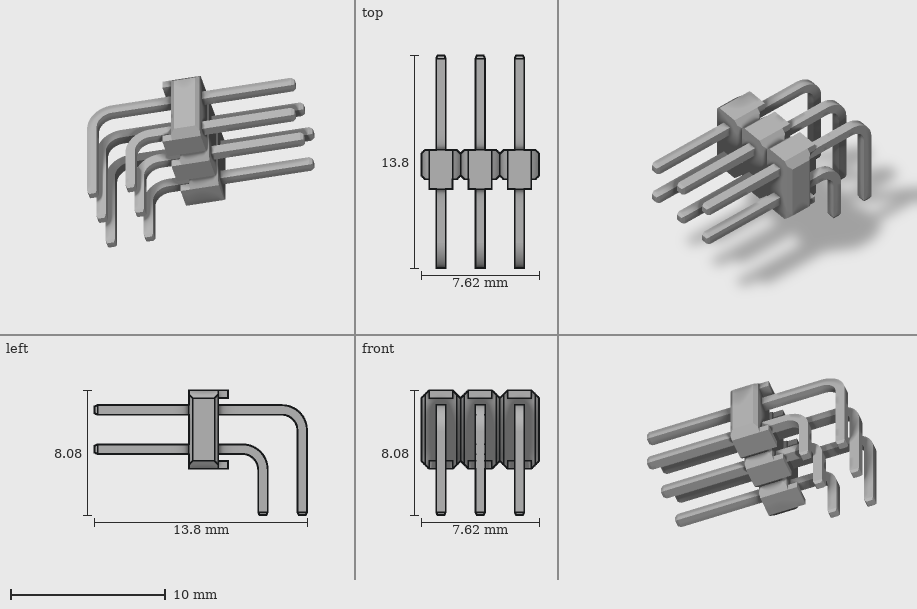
import cadquery as cq
import math


column_count = 3
housing_length = 7.62
pitch = housing_length / column_count

housing_height = 2 * pitch
block_depth = 1.91
edge_bevel = 0.51
corner_chamfer = 0.25
ledge_depth = 0.63
ledge_height = 0.51
ledge_width = pitch - 2 * edge_bevel

pin_width = 0.63
bend_inner_radius = 1.0
bend_radius = bend_inner_radius + pin_width / 2
mating_length = 6.11
tail_drop = 3.0
overall_depth = 13.76
tip_length = 0.2
tip_inset = 0.1
tip_taper = math.degrees(math.atan(tip_inset / tip_length))

mating_tip_y = block_depth + mating_length
tail_tip_z = -housing_height / 2 - tail_drop
upper_tail_y = mating_tip_y - overall_depth + pin_width / 2

column_xs = [(column - (column_count - 1) / 2) * pitch for column in range(column_count)]
rows = [(pitch / 2, upper_tail_y), (-pitch / 2, upper_tail_y + pitch)]


def make_cell(x):
    """One column's block, bevelled above and below and chamfered at its upright corners."""
    block_center = (x, block_depth / 2, 0)
    bevelled = (
        cq.Workplane("XY").box(pitch, block_depth, housing_height)
        .edges("|Y").chamfer(edge_bevel)
        .translate(block_center)
    )
    chamfered = (
        cq.Workplane("XY").box(pitch, block_depth, housing_height)
        .edges("|Z").chamfer(corner_chamfer)
        .translate(block_center)
    )
    return bevelled.intersect(chamfered)


def make_ledges(x):
    """The two ledges in front of a cell, flush with its top and bottom."""
    ledge_z = (housing_height - ledge_height) / 2
    return (
        cq.Workplane("XZ")
        .pushPoints([(x, ledge_z), (x, -ledge_z)])
        .rect(ledge_width, ledge_height)
        .extrude(ledge_depth)
    )


def make_housing():
    """All cells joined in a row, with a square through hole for every pin."""
    housing = make_cell(column_xs[0])
    for x in column_xs[1:]:
        housing = housing.union(make_cell(x))
    for x in column_xs:
        housing = housing.union(make_ledges(x))
    pin_holes = (
        cq.Workplane("XZ")
        .pushPoints([(x, row_z) for x in column_xs for row_z, tail_y in rows])
        .rect(pin_width, pin_width)
        .extrude(-block_depth)
    )
    return housing.cut(pin_holes)


def make_pin(x, row_z, tail_y):
    """A square pin bent down through a right angle, with a tapered tip at each end."""
    shaft_end_y = mating_tip_y - tip_length
    tail_end_z = tail_tip_z + tip_length
    centreline = (
        cq.Workplane("YZ", origin=(x, 0, 0))
        .moveTo(shaft_end_y, row_z)
        .lineTo(tail_y + bend_radius, row_z)
        .tangentArcPoint((tail_y, row_z - bend_radius), relative=False)
        .lineTo(tail_y, tail_end_z)
    )
    pin = (
        cq.Workplane("XZ", origin=(x, shaft_end_y, row_z))
        .rect(pin_width, pin_width)
        .sweep(centreline)
    )
    for end_face in (">Y", "<Z"):
        pin = (
            pin.faces(end_face).workplane(centerOption="CenterOfMass")
            .rect(pin_width, pin_width)
            .extrude(tip_length, taper=tip_taper)
        )
    return pin


housing = make_housing()
pins = [make_pin(x, row_z, tail_y) for x in column_xs for row_z, tail_y in rows]

result = cq.Compound.makeCompound([housing.solids().val(), *[pin.solids().val() for pin in pins]])